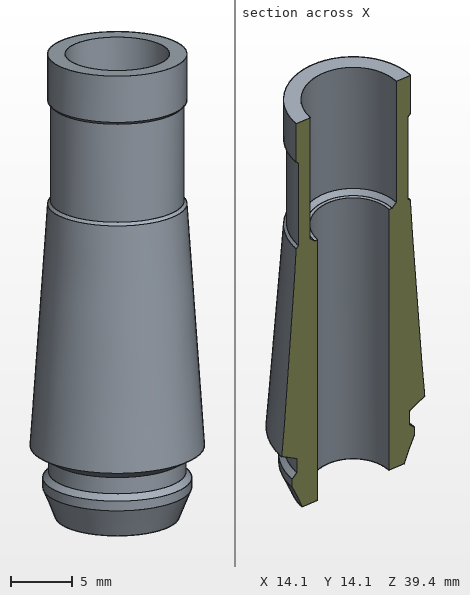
import cadquery as cq

TOTAL_HEIGHT = 39.4
NOSE_TOP = 2.5
BEAD_TOP = 3.3
GROOVE_TOP = 5.15
FLARE_BOTTOM = 6.03
SLEEVE_TOP = 26.65
COLLAR_BOTTOM = 35.45

NOSE_TIP_DIAMETER = 10.05
BEAD_DIAMETER = 12.05
GROOVE_DIAMETER = 11.1
FLARE_DIAMETER = 14.1
SLEEVE_TOP_DIAMETER = 11.25
NECK_DIAMETER = 10.8
COLLAR_DIAMETER = 11.25

SOCKET_DIAMETER = 8.45
SEAT_END_DIAMETER = 7.6
THROUGH_HOLE_DIAMETER = 7.0


def outer_body():
    """Revolve the stepped outer outline about the Z axis."""
    bead_shoulder = (BEAD_DIAMETER - GROOVE_DIAMETER) / 2
    sleeve_shoulder = (SLEEVE_TOP_DIAMETER - NECK_DIAMETER) / 2
    collar_shoulder = (COLLAR_DIAMETER - NECK_DIAMETER) / 2
    return (
        cq.Workplane("XZ")
        .moveTo(0, 0)
        .lineTo(NOSE_TIP_DIAMETER / 2, 0)
        .lineTo(BEAD_DIAMETER / 2, NOSE_TOP)
        .lineTo(BEAD_DIAMETER / 2, BEAD_TOP)
        .lineTo(GROOVE_DIAMETER / 2, BEAD_TOP + bead_shoulder)
        .lineTo(GROOVE_DIAMETER / 2, GROOVE_TOP)
        .lineTo(FLARE_DIAMETER / 2, FLARE_BOTTOM)
        .lineTo(SLEEVE_TOP_DIAMETER / 2, SLEEVE_TOP)
        .lineTo(NECK_DIAMETER / 2, SLEEVE_TOP + sleeve_shoulder)
        .lineTo(NECK_DIAMETER / 2, COLLAR_BOTTOM - collar_shoulder)
        .lineTo(COLLAR_DIAMETER / 2, COLLAR_BOTTOM)
        .lineTo(COLLAR_DIAMETER / 2, TOTAL_HEIGHT)
        .lineTo(0, TOTAL_HEIGHT)
        .close()
        .revolve(360, (0, 0, 0), (0, 1, 0))
    )


def bore():
    """Revolve the hollow: a through hole below and a wider socket above."""
    ledge_height = SLEEVE_TOP
    seat_height = (SOCKET_DIAMETER - SEAT_END_DIAMETER) / 2
    return (
        cq.Workplane("XZ")
        .moveTo(0, 0)
        .lineTo(THROUGH_HOLE_DIAMETER / 2, 0)
        .lineTo(THROUGH_HOLE_DIAMETER / 2, ledge_height)
        .lineTo(SEAT_END_DIAMETER / 2, ledge_height)
        .lineTo(SOCKET_DIAMETER / 2, ledge_height + seat_height)
        .lineTo(SOCKET_DIAMETER / 2, TOTAL_HEIGHT)
        .lineTo(0, TOTAL_HEIGHT)
        .close()
        .revolve(360, (0, 0, 0), (0, 1, 0))
    )


result = outer_body().cut(bore())